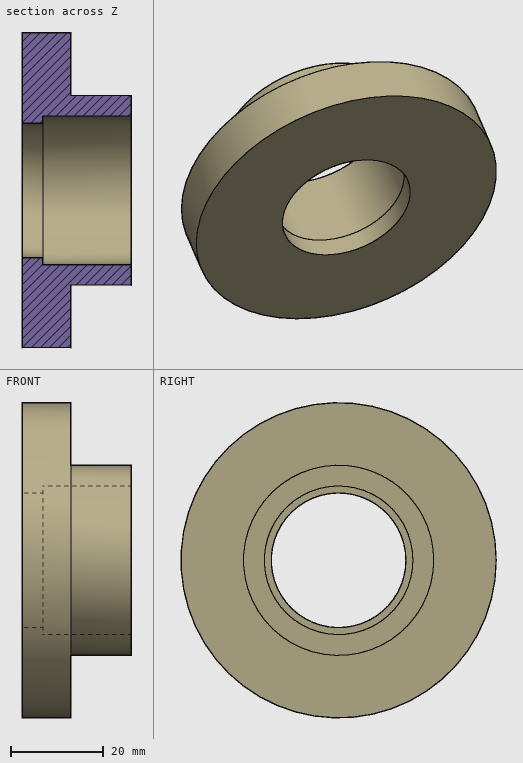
import cadquery as cq

flange_diameter = 68.0
flange_thickness = 10.5
hub_diameter = 41.0
total_length = 23.5

lip_diameter = 29.0
lip_depth = 4.5
bore_diameter = 32.0


def cylinder(diameter, start, end):
    """Solid cylinder on the X axis between two X positions."""
    return cq.Workplane("YZ", origin=(start, 0, 0)).circle(diameter / 2).extrude(end - start)


flange = cylinder(flange_diameter, 0, flange_thickness)
hub = cylinder(hub_diameter, 0, total_length)
lip_hole = cylinder(lip_diameter, 0, total_length)
hub_bore = cylinder(bore_diameter, lip_depth, total_length)

result = flange.union(hub).cut(lip_hole).cut(hub_bore)